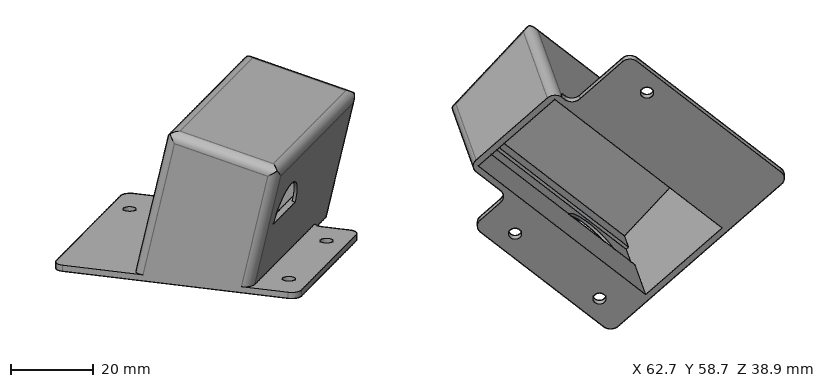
import cadquery as cq
import math

plate_width = 62.7
plate_thickness = 1.6
plate_left_depth = 52.8
plate_right_depth = 45.8
plate_corner_radius = 2.5

screw_hole_diameter = 3.2
left_screw_x = 5.1
left_screw_y = 42.2
right_screw_x = 57.3
right_screw_front_y = 8.9
right_screw_spacing = 28.0

lean_angle = 13.0
housing_width = 29.5
housing_depth = 58.7
housing_edge_radius = 2.5
housing_foot_x = 20.15
overall_height = 38.89
wall_thickness = 1.6
roof_thickness = 0.8

wall_hole_diameter = 5.0
wall_hole_y = 6.4
wall_hole_heights = (16.45, 30.2)

sill_height = 16.5
window_radius = 8.0
window_front_margin = 6.7
recess_height = 10.0
recess_depth = 0.8

lean = math.radians(lean_angle)
foot_width = housing_width / math.cos(lean)
foot_right_x = housing_foot_x + foot_width
foot_drop = foot_width
clearance = 1.0
cavity_width = housing_width - 2 * wall_thickness
cavity_depth = housing_depth - 2 * wall_thickness

round_centre_height = overall_height - housing_edge_radius
housing_height = (
    (round_centre_height + housing_edge_radius * math.sin(lean)) / math.cos(lean) + housing_edge_radius
)


def upright_box(corner, size):
    """Box in the housing frame, from its lowest corner and its size along X, Y and Z."""
    return cq.Workplane("XY").box(*size, centered=False).translate(corner)


def lean_over(body):
    """Move a body from the housing frame to its leaning place on the plate."""
    leaning = body.rotate((0, 0, 0), (0, 1, 0), lean_angle)
    return leaning.translate((housing_foot_x, 0, 0))


def make_plate():
    """Plate with a flange each side of the housing and a tongue under its rear."""
    tongue_depth = housing_depth - housing_edge_radius
    outline = [
        (0, 0),
        (plate_width, 0),
        (plate_width, plate_right_depth),
        (foot_right_x, plate_right_depth),
        (foot_right_x, tongue_depth),
        (housing_foot_x, tongue_depth),
        (housing_foot_x, plate_left_depth),
        (0, plate_left_depth),
    ]
    plate = cq.Workplane("XY").polyline(outline).close().extrude(plate_thickness)
    tongue_end = cq.selectors.BoxSelector(
        (housing_foot_x - clearance, tongue_depth - clearance, -clearance),
        (foot_right_x + clearance, tongue_depth + clearance, plate_thickness + clearance),
    )
    rounded_corners = cq.selectors.SubtractSelector(cq.StringSyntaxSelector("|Z"), tongue_end)
    return plate.edges(rounded_corners).fillet(plate_corner_radius)


def make_housing_block():
    """Solid leaning housing whose edge rounds meet in mitred corners, cut flat at Z = 0."""
    def rounded_block(edges):
        block = upright_box(
            (0, 0, -foot_drop),
            (housing_width, housing_depth, housing_height + foot_drop),
        )
        return block.edges(edges).fillet(housing_edge_radius)

    block = rounded_block("|Z")
    for roof_edges in (">Z and |X", ">Z and |Y"):
        block = block.intersect(rounded_block(roof_edges))
    above_ground = upright_box((0, 0, 0), (plate_width, housing_depth, overall_height + clearance))
    return lean_over(block).intersect(above_ground)


def make_cavity():
    """Inside of the housing, running out through the underside."""
    return lean_over(upright_box(
        (wall_thickness, wall_thickness, -foot_drop),
        (cavity_width, cavity_depth, housing_height - roof_thickness + foot_drop),
    ))


def make_wall_hole(height):
    """Cutter for a round hole square to the left wall."""
    cutter = (
        cq.Workplane("YZ")
        .center(wall_hole_y, height / math.cos(lean))
        .circle(wall_hole_diameter / 2)
        .extrude(2 * wall_thickness, both=True)
    )
    return lean_over(cutter)


def make_window():
    """Cutter for the half-round window standing on the sill, and the recess around it."""
    inner_face_x = housing_width - wall_thickness
    sill = (sill_height + inner_face_x * math.sin(lean)) / math.cos(lean)
    window = (
        cq.Workplane("YZ", origin=(inner_face_x, window_front_margin, sill))
        .threePointArc((window_radius, window_radius), (2 * window_radius, 0))
        .close()
        .extrude(2 * wall_thickness)
    )
    recess = upright_box(
        (inner_face_x, wall_thickness, sill),
        (recess_depth, cavity_depth, recess_height),
    )
    return lean_over(window.union(recess))


def make_screw_holes():
    """Cutters for the three screw holes in the flanges."""
    centres = [
        (left_screw_x, left_screw_y),
        (right_screw_x, right_screw_front_y),
        (right_screw_x, right_screw_front_y + right_screw_spacing),
    ]
    holes = cq.Workplane("XY").pushPoints(centres).circle(screw_hole_diameter / 2)
    return holes.extrude(plate_thickness)


body = make_plate().cut(make_screw_holes())
body = body.union(make_housing_block()).cut(make_cavity()).cut(make_window())
for hole_height in wall_hole_heights:
    body = body.cut(make_wall_hole(hole_height))

result = body